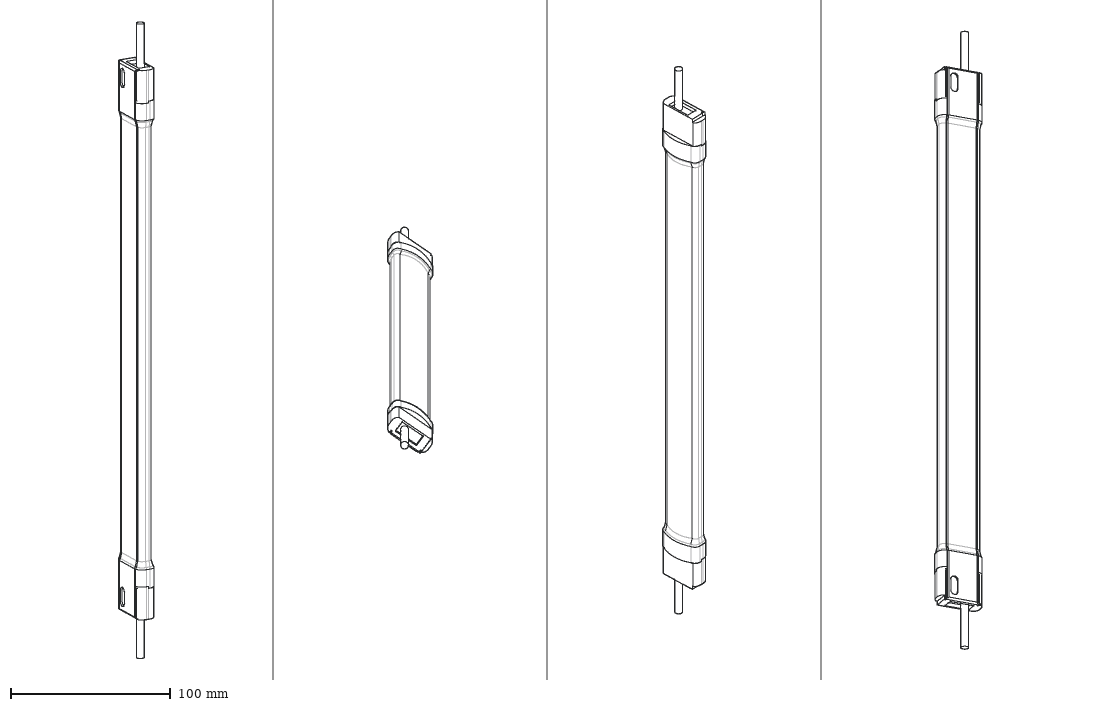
import cadquery as cq

length = 417.0
width = 30.5
depth = 15.5
cap_half_width = width / 2
cap_half_depth = depth / 2

cap_wall = 1.45
tube_half_width = cap_half_width - cap_wall
tube_half_depth = cap_half_depth - cap_wall

front_width = 19.5
front_flat = front_width / 2
groove_width = 1.3
groove_depth = 0.63
corner_drop = 0.2
side_wall_front = -1.88
side_wall_back = 0.63
corner_bulge = 0.7

tube_crown_rise = 3.0
tube_crown_inset = 3.0
cap_crown_rise = 2.5
cap_crown_inset = 3.8

tube_end = 142.5
collar_top = 146.5
cap_start = 147.5
tab_base = 159.0
shoulder = 160.0
tab_top = 178.0
cap_top = 180.5

cap_bevel = 0.63
tab_recess = 0.13
tab_wall_back = -0.63
shoulder_depth = 4.5
rim_chamfer = 1.3
corner_notch_x = -12.0
slit_x = 11.3
slit_width = 1.0
slit_depth = 2.5

slot_x = -6.0
slot_z = 170.5
slot_width = 5.0
slot_length = 12.5
slot_depth = 1.3

recess_left = -7.0
recess_right = 9.0
recess_front = -4.0
recess_back = 3.5
recess_depth = 2.5

wire_radius = 2.5
wire_x = 4.5
wire_y = -0.63


def section(z, half_width, half_depth, crown_rise, crown_inset, wall_back=side_wall_back):
    """Flat front between V grooves, short side walls, rounded corners and a crowned back."""
    groove_x = front_flat + groove_width / 2
    groove_y = groove_depth - half_depth
    corner_x = front_flat + groove_width
    corner_y = corner_drop - half_depth
    crown_x = half_width - crown_inset
    crown_y = half_depth - crown_rise

    front_mid_x = corner_x + corner_bulge * (half_width - corner_x)
    front_mid_y = side_wall_front + corner_bulge * (corner_y - side_wall_front)
    back_mid_x = crown_x + corner_bulge * (half_width - crown_x)
    back_mid_y = wall_back + corner_bulge * (crown_y - wall_back)

    return (
        cq.Workplane("XY", origin=(0, 0, z))
        .moveTo(-front_flat, -half_depth)
        .lineTo(front_flat, -half_depth)
        .lineTo(groove_x, groove_y)
        .lineTo(corner_x, corner_y)
        .threePointArc((front_mid_x, front_mid_y), (half_width, side_wall_front))
        .lineTo(half_width, wall_back)
        .threePointArc((back_mid_x, back_mid_y), (crown_x, crown_y))
        .threePointArc((0, half_depth), (-crown_x, crown_y))
        .threePointArc((-back_mid_x, back_mid_y), (-half_width, wall_back))
        .lineTo(-half_width, side_wall_front)
        .threePointArc((-front_mid_x, front_mid_y), (-corner_x, corner_y))
        .lineTo(-groove_x, groove_y)
        .close()
    )


def tube_section(z):
    return section(z, tube_half_width, tube_half_depth, tube_crown_rise, tube_crown_inset)


def cap_section(z, inset=0.0):
    return section(
        z, cap_half_width - inset, cap_half_depth - inset, cap_crown_rise, cap_crown_inset
    )


def loft(lower, upper):
    """Straight-sided solid between two closed sections."""
    return cq.Workplane(cq.Solid.makeLoft([lower.wire().val(), upper.wire().val()], True))


def block(x_min, x_max, y_min, y_max, z_min, z_max):
    """Box given by its limits."""
    size = (x_max - x_min, y_max - y_min, z_max - z_min)
    return cq.Workplane("XY").box(*size, centered=False).translate((x_min, y_min, z_min))


def make_collar():
    """Taper from the tube out to the cap, with a bevel at the cap's lower edge."""
    taper = loft(tube_section(tube_end), cap_section(collar_top, cap_bevel))
    bevel = loft(cap_section(collar_top, cap_bevel), cap_section(cap_start))
    return taper.union(bevel)


def make_cap_base():
    """Crowned lower part of the cap; above the tab base only its back remains."""
    wide = 2 * cap_half_width
    base = cap_section(cap_start).extrude(shoulder - cap_start)
    return base.cut(block(-wide, wide, -wide, tab_wall_back, tab_base, cap_top))


def make_tabs():
    """Upper part of the cap: flat back, side tabs, front slot and end recess."""
    wide = 2 * cap_half_width
    above = cap_top + wide
    upper = section(
        tab_base, cap_half_width - tab_recess, cap_half_depth,
        cap_crown_rise, cap_crown_inset, tab_wall_back,
    ).extrude(cap_top - tab_base)
    upper = upper.cut(block(-wide, wide, shoulder_depth, wide, tab_base, above))
    upper = upper.cut(block(-wide, corner_notch_x, -wide, wide, tab_top, above))
    upper = upper.edges("<Y and >Z").chamfer(rim_chamfer)

    for side in (-1, 1):
        center = side * slit_x
        upper = upper.cut(block(
            center - slit_width / 2, center + slit_width / 2,
            -wide, slit_depth - cap_half_depth,
            shoulder, above,
        ))

    slot = (
        cq.Workplane("XZ", origin=(slot_x, slot_depth - cap_half_depth, slot_z))
        .slot2D(slot_length, slot_width, 90)
        .extrude(cap_half_depth)
    )
    recess = block(
        recess_left, recess_right, recess_front, recess_back, cap_top - recess_depth, above
    )
    return upper.cut(slot).cut(recess)


tube = tube_section(-tube_end).extrude(2 * tube_end)
wire = (
    cq.Workplane("XY", origin=(wire_x, wire_y, -length / 2))
    .circle(wire_radius)
    .extrude(length)
)
upper_end = make_collar().union(make_cap_base()).union(make_tabs())
lower_end = upper_end.mirror("XY")

result = tube.union(upper_end).union(lower_end).union(wire)